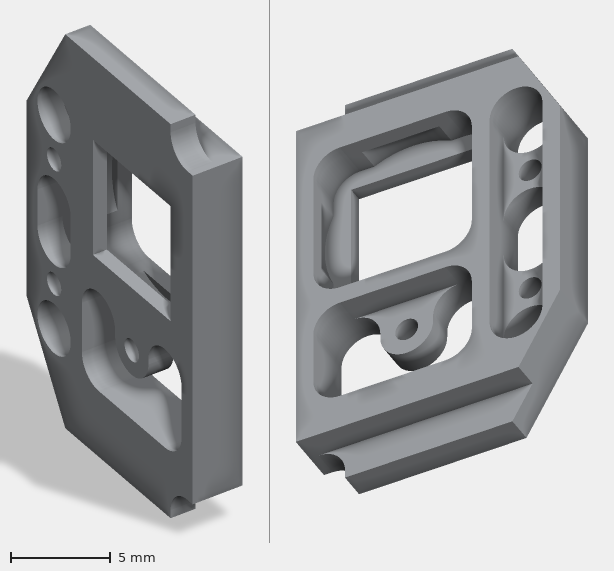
import cadquery as cq
import math

HEIGHT = 24.0
WIDTH = 15.0
THICKNESS = 3.0
FRONT_DEPTH = THICKNESS / 2
STEP = 2.0
BEVEL_WIDTH = 3.5
BEVEL_HEIGHT = BEVEL_WIDTH * math.tan(math.radians(60))
NOTCH = STEP

LARGE_DIAMETER = 3.0
CORNER_RADIUS = LARGE_DIAMETER / 2
SCREW_DIAMETER = 1.3

COLUMN_X = 2.5
LARGE_HOLE_Z = 6.5
SCREW_Z = 3.8
SLOT_LENGTH = 5.2

WINDOW_X = 9.5
WINDOW_Z = 3.5
WINDOW_SIZE = 7.0
LIP_DEPTH = 0.85
POCKET_SIZE = 9.0
GROOVE_DIAMETER = 10.0
GROOVE_BACK = 2.14

OPENING_WIDTH = POCKET_SIZE
OPENING_TOP = -2.0
OPENING_HEIGHT = 6.0
TAB_WIDTH = LARGE_DIAMETER


def block(x, z, width, height, y_start=0.0, y_end=THICKNESS):
    """Box centred on (x, z), running from y_start to y_end."""
    return cq.Workplane("XY").box(width, y_end - y_start, height).translate((x, (y_start + y_end) / 2, z))


def cylinder(x, z, diameter, y_start=0.0, y_end=THICKNESS):
    """Round bar along Y."""
    plane = cq.Workplane("XZ", origin=(x, y_start, z))
    return plane.circle(diameter / 2).extrude(y_start - y_end)


def upright_slot(length, y_start):
    """Round-ended slot along Z in the hole column, from y_start to the back face."""
    plane = cq.Workplane("XZ", origin=(COLUMN_X, y_start, 0))
    return plane.slot2D(length, LARGE_DIAMETER, 90).extrude(y_start - THICKNESS)


def make_plate():
    half = HEIGHT / 2
    outline = [
        (BEVEL_WIDTH, half),
        (WIDTH, half),
        (WIDTH, -half),
        (BEVEL_WIDTH, -half),
        (0, -half + BEVEL_HEIGHT),
        (0, half - BEVEL_HEIGHT),
    ]
    plate = cq.Workplane("XZ").polyline(outline).close().extrude(-THICKNESS)
    for side in (1, -1):
        step_z = side * (half - STEP / 2)
        plate = plate.cut(block(WIDTH / 2, step_z, WIDTH, STEP, FRONT_DEPTH))
        notch = block(WIDTH, side * half, 2 * NOTCH, 2 * NOTCH, 0, FRONT_DEPTH)
        plate = plate.cut(notch.edges("|Y").fillet(CORNER_RADIUS))
    return plate


def cut_hole_column(plate):
    for side in (1, -1):
        plate = plate.cut(cylinder(COLUMN_X, side * LARGE_HOLE_Z, LARGE_DIAMETER))
        plate = plate.cut(cylinder(COLUMN_X, side * SCREW_Z, SCREW_DIAMETER))
    plate = plate.cut(upright_slot(SLOT_LENGTH, 0))
    return plate.cut(upright_slot(2 * LARGE_HOLE_Z + LARGE_DIAMETER, FRONT_DEPTH))


def cut_window(plate):
    window = block(WINDOW_X, WINDOW_Z, WINDOW_SIZE, WINDOW_SIZE)
    pocket = block(WINDOW_X, WINDOW_Z, POCKET_SIZE, POCKET_SIZE, LIP_DEPTH)
    pocket = pocket.edges("|Y").fillet(CORNER_RADIUS)
    groove = cylinder(WINDOW_X, WINDOW_Z, GROOVE_DIAMETER, LIP_DEPTH, GROOVE_BACK)
    return plate.cut(window).cut(pocket).cut(groove)


def cut_lower_opening(plate):
    opening_z = OPENING_TOP - OPENING_HEIGHT / 2
    opening = block(WINDOW_X, opening_z, OPENING_WIDTH, OPENING_HEIGHT)
    opening = opening.edges("|Y").fillet(CORNER_RADIUS)

    tab_height = OPENING_TOP + SCREW_Z
    strip_z = OPENING_TOP - tab_height / 2
    tab = block(WINDOW_X, strip_z, 2 * TAB_WIDTH, tab_height, 0, FRONT_DEPTH)
    arm_x = (OPENING_WIDTH - LARGE_DIAMETER) / 2
    arm_z = OPENING_TOP - CORNER_RADIUS
    arm_bottom_height = arm_z + SCREW_Z
    for side in (1, -1):
        x = WINDOW_X + side * arm_x
        tab = tab.cut(cylinder(x, arm_z, LARGE_DIAMETER))
        tab = tab.cut(block(x, arm_z - arm_bottom_height / 2, LARGE_DIAMETER, arm_bottom_height))
    tab = tab.union(cylinder(WINDOW_X, -SCREW_Z, TAB_WIDTH, 0, FRONT_DEPTH))
    tab = tab.cut(cylinder(WINDOW_X, -SCREW_Z, SCREW_DIAMETER))
    return plate.cut(opening.cut(tab))


result = cut_lower_opening(cut_window(cut_hole_column(make_plate())))